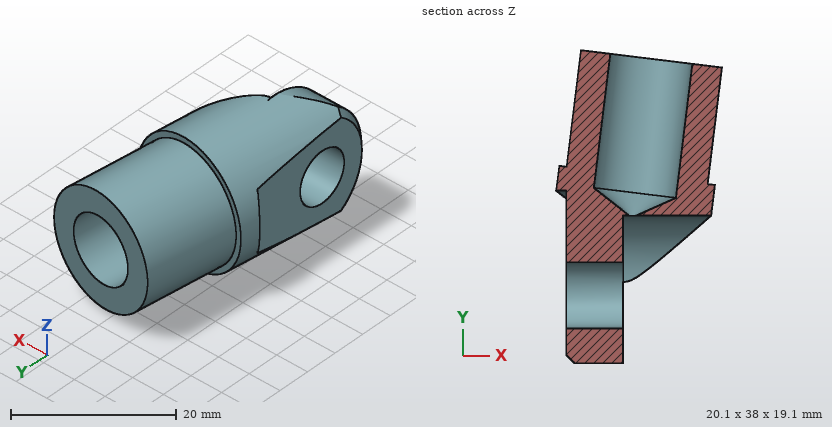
import cadquery as cq
import math


tilt_angle = 7.0
collar_diameter = 19.05
collar_end = 14.65
spigot_diameter = 17.27
spigot_length = 14.23

tongue_inner_x = 0.1
tongue_thickness = 6.9
tongue_outer_x = tongue_inner_x - tongue_thickness
tongue_end_radius = 9.58
tongue_end_center_y = 1.34
tongue_chamfer = 1.0
pin_diameter = 8.0

inner_clearance_radius = 9.66
outer_clearance_radius = 12.7

bore_diameter = 10.0
drill_point_angle = 118.0
breakthrough_diameter = 0.5

reach = 40.0


def along_body(solid):
    """Tilt a solid built along +Y onto the body axis."""
    return solid.rotate((0, 0, 0), (0, 0, 1), -tilt_angle)


def rod(diameter, start, length):
    """Cylinder along +Y."""
    return cq.Workplane("XZ", origin=(0, start, 0)).circle(diameter / 2).extrude(-length)


def swing_disc(radius, start_x, width, center_y=0.0):
    """Cylinder parallel to the pin axis."""
    return cq.Workplane("YZ", origin=(start_x, center_y, 0)).circle(radius).extrude(width)


def make_body():
    collar = rod(collar_diameter, -reach / 2, reach / 2 + collar_end)
    spigot = rod(spigot_diameter, collar_end, spigot_length)
    return along_body(collar.union(spigot))


def clearance_cutter(radius, start_x, width):
    """Disc about the pin axis, extended toward -Y past the end of the body."""
    disc = swing_disc(radius, start_x, width)
    slab = cq.Workplane("XY").box(width, reach, 2 * radius, centered=(False, False, True))
    return disc.union(slab.translate((start_x, -reach, 0)))


def tongue_end_envelope():
    """Region kept by the rounded tongue end, with its outer edge chamfered."""
    end = swing_disc(tongue_end_radius, tongue_outer_x, reach, tongue_end_center_y)
    end = end.faces("<X").chamfer(tongue_chamfer)
    beyond = cq.Workplane("XY").box(2 * reach, reach, reach, centered=(True, False, True))
    return end.union(beyond.translate((0, tongue_end_center_y, 0)))


def make_bore():
    half_angle = math.radians(drill_point_angle / 2)
    bore_radius = bore_diameter / 2
    tip = inner_clearance_radius - breakthrough_diameter / 2 / math.tan(half_angle)
    shoulder = tip + bore_radius / math.tan(half_angle)
    profile = (
        cq.Workplane("XY")
        .moveTo(0, tip)
        .lineTo(bore_radius, shoulder)
        .lineTo(bore_radius, reach)
        .lineTo(0, reach)
        .close()
    )
    return along_body(profile.revolve(360, (0, 0, 0), (0, 1, 0)))


def make_part():
    part = make_body()
    part = part.cut(clearance_cutter(inner_clearance_radius, tongue_inner_x, reach))
    part = part.cut(clearance_cutter(outer_clearance_radius, tongue_outer_x - reach, reach))
    part = part.intersect(tongue_end_envelope())
    part = part.cut(swing_disc(pin_diameter / 2, -reach / 2, reach))
    return part.cut(make_bore())


result = make_part()